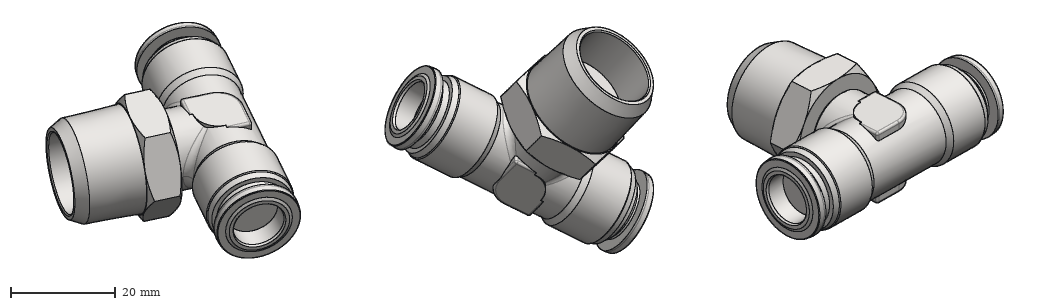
import cadquery as cq
import math

half_length = 26.0
tube_radius = 8.0
sleeve_radius = 8.8
sleeve_inner_end = 11.35
sleeve_outer_end = 20.05
sleeve_bevel_length = 1.3
sleeve_rim_bevel = 0.2
cap_length = 1.45
cap_radius = 8.15
seat_length = 1.3
seat_small_radius = 6.85
seat_large_radius = 7.2
stem_radius = 5.95
stem_flare = 0.2
stem_flare_length = 0.35
collar_back = 23.95
collar_radius = 8.55
collar_front_radius = 8.4
collar_rim_bevel = 0.15
collar_taper_start = 24.4
collar_face = 25.7
lip_base_radius = 6.7
lip_radius = 6.1
socket_radius = 5.1
socket_lead_in = 0.2
socket_lead_in_length = 0.5
socket_floor = 21.55

stub_end = 10.55
stub_bevel = 0.55
seam_fillet = 1.55
neck_radius = 6.65
hex_sides = 6
hex_start = 10.7
hex_end = 17.8
hex_across_flats = 22.0
hex_tilt = 2.1
hex_bevel_angle = 30.0
spigot_end = 31.65
spigot_base_radius = 10.75
spigot_taper = 1 / 32
spigot_tip_radius = 9.05
spigot_tip_length = 2.55
spigot_bore_radius = 8.05
spigot_bore_bevel = 0.25
spigot_bore_floor = 22.25

pad_height = 8.05
pad_radius = 5.05
pad_corner = 6.0
pad_rounding = 0.5


def revolved_along_x(profile):
    """Turn (axial position, radius) points about the X axis."""
    return cq.Workplane("XY").polyline(profile).close().revolve(360, (0, 0, 0), (1, 0, 0))


def revolved_along_branch(profile):
    """Turn (distance towards -Y, radius) points about the Y axis."""
    points = [(radius, -distance) for distance, radius in profile]
    return cq.Workplane("XY").polyline(points).close().revolve(360, (0, 0, 0), (0, 1, 0))


def run_half():
    """Outside of the +X half of the run, from the middle to the lip of the socket."""
    cap_end = sleeve_outer_end + cap_length
    return revolved_along_x([
        (0, 0),
        (0, tube_radius),
        (sleeve_inner_end - sleeve_bevel_length, tube_radius),
        (sleeve_inner_end, sleeve_radius),
        (sleeve_outer_end, sleeve_radius),
        (sleeve_outer_end + sleeve_rim_bevel, sleeve_radius - sleeve_rim_bevel),
        (cap_end, cap_radius),
        (cap_end, seat_large_radius),
        (cap_end + seat_length, seat_small_radius),
        (cap_end + seat_length, stem_radius),
        (collar_back - stem_flare_length, stem_radius),
        (collar_back, stem_radius + stem_flare),
        (collar_back, collar_radius),
        (collar_taper_start, collar_radius),
        (collar_face - collar_rim_bevel, collar_front_radius),
        (collar_face, collar_front_radius - collar_rim_bevel),
        (collar_face, lip_base_radius),
        (half_length, lip_radius),
        (half_length, 0),
    ])


def socket():
    """Blind tube socket in the +X end, with a tapered lead-in."""
    return revolved_along_x([
        (socket_floor, 0),
        (socket_floor, socket_radius),
        (half_length - socket_lead_in_length, socket_radius),
        (half_length, socket_radius + socket_lead_in),
        (half_length, 0),
    ])


def both_ends(half):
    """A shape on the +X side together with its mirror image on the -X side."""
    return half.union(half.mirror("YZ"))


def pads():
    """One leaf-shaped prism whose top and bottom faces are the two pads."""
    arc_middle = pad_radius * math.sqrt(0.5)
    leaf = (
        cq.Workplane("XY").workplane(offset=-pad_height)
        .moveTo(pad_radius, 0)
        .lineTo(pad_corner, 0)
        .lineTo(pad_corner, pad_radius)
        .lineTo(0, pad_radius)
        .threePointArc((-arc_middle, arc_middle), (-pad_radius, 0))
        .lineTo(-pad_radius, -pad_corner)
        .lineTo(0, -pad_corner)
        .lineTo(0, -pad_radius)
        .threePointArc((arc_middle, -arc_middle), (pad_radius, 0))
        .close()
        .extrude(2 * pad_height)
    )
    outer_corners = [(pad_corner, pad_radius, 0), (-pad_radius, -pad_corner, 0)]
    for corner in outer_corners:
        leaf = leaf.edges(cq.selectors.NearestToPointSelector(corner)).fillet(pad_rounding)
    rim_middle = pad_corner / 2
    for z in (-pad_height, pad_height):
        rim = cq.selectors.NearestToPointSelector((rim_middle, pad_radius, z))
        leaf = leaf.edges(rim).fillet(pad_rounding)
    return leaf


def stub():
    """Branch tube from the crossing to its bevelled end."""
    return revolved_along_branch([
        (0, 0),
        (0, tube_radius),
        (stub_end - stub_bevel, tube_radius),
        (stub_end, tube_radius - stub_bevel),
        (stub_end, 0),
    ])


def hexagon():
    """Wrench hexagon, tilted about Y, with its corners bevelled at both ends."""
    flat_radius = hex_across_flats / 2
    corner_radius = flat_radius / math.cos(math.pi / hex_sides)
    bevel_length = (corner_radius - flat_radius) * math.tan(math.radians(hex_bevel_angle))
    prism = (
        cq.Workplane("XZ").workplane(offset=hex_start)
        .polygon(hex_sides, 2 * corner_radius)
        .extrude(hex_end - hex_start)
        .rotate((0, 0, 0), (0, 1, 0), hex_tilt)
    )
    envelope = revolved_along_branch([
        (hex_start, 0),
        (hex_start, flat_radius),
        (hex_start + bevel_length, corner_radius),
        (hex_end - bevel_length, corner_radius),
        (hex_end, flat_radius),
        (hex_end, 0),
    ])
    return prism.intersect(envelope)


def neck_and_spigot():
    """Solid core: the neck through the hexagon, then the tapered spigot with its tip."""
    tip_start = spigot_end - spigot_tip_length
    tip_start_radius = spigot_base_radius - (tip_start - hex_end) * spigot_taper
    return revolved_along_branch([
        (0, 0),
        (0, neck_radius),
        (hex_end, neck_radius),
        (hex_end, spigot_base_radius),
        (tip_start, tip_start_radius),
        (spigot_end, spigot_tip_radius),
        (spigot_end, 0),
    ])


def spigot_bore():
    """Blind bore in the end of the spigot, with a bevelled mouth."""
    return revolved_along_branch([
        (spigot_bore_floor, 0),
        (spigot_bore_floor, spigot_bore_radius),
        (spigot_end - spigot_bore_bevel, spigot_bore_radius),
        (spigot_end, spigot_bore_radius + spigot_bore_bevel),
        (spigot_end, 0),
    ])


tubes = both_ends(run_half()).union(stub())
seams = [edge for edge in tubes.edges().vals() if edge.geomType() == "ELLIPSE"]
tubes = tubes.newObject(seams).fillet(seam_fillet)

outside = tubes.union(pads()).union(neck_and_spigot()).union(hexagon())
result = outside.cut(both_ends(socket())).cut(spigot_bore())